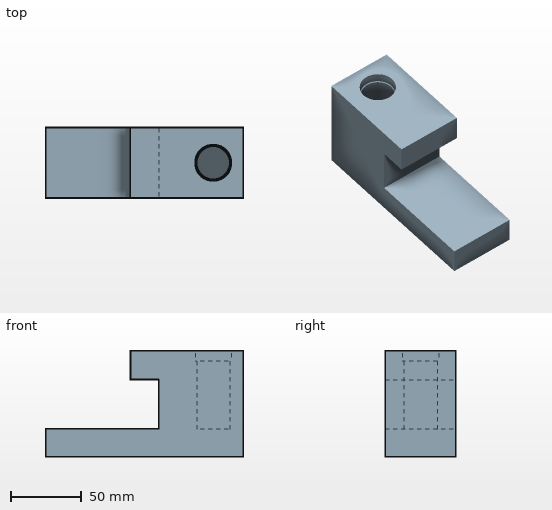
import cadquery as cq

length = 140.0
width = 50.0
height = 75.0

base_thickness = 20.0
lip_start = 60.0
notch_back = 80.0
lip_underside = 54.6

hole_x = 118.6
counterbore_diameter = 25.6
counterbore_depth = 7.0
bore_diameter = 23.5
bore_depth = height - base_thickness


def make_body():
    """Extrude the side profile across the width, centred on Y = 0."""
    profile = [
        (0, 0),
        (length, 0),
        (length, height),
        (lip_start, height),
        (lip_start, lip_underside),
        (notch_back, lip_underside),
        (notch_back, base_thickness),
        (0, base_thickness),
    ]
    return cq.Workplane("XZ").polyline(profile).close().extrude(width / 2, both=True)


def cut_stepped_hole(body):
    """Bore down from the top face, with a shallow wider mouth."""
    return (
        body.faces(">Z")
        .workplane(origin=(hole_x, 0, height))
        .cboreHole(bore_diameter, counterbore_diameter, counterbore_depth, bore_depth)
    )


result = cut_stepped_hole(make_body())